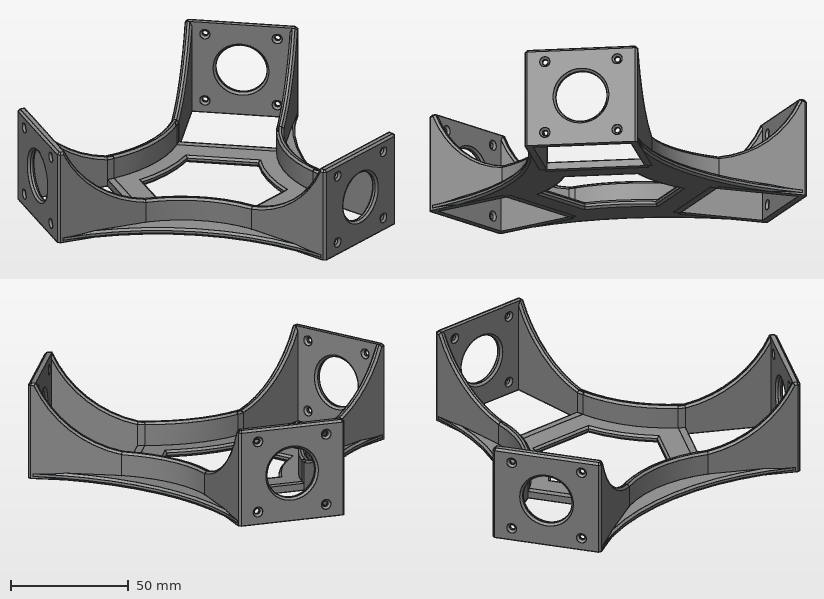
import cadquery as cq
import math

overall_width = 161.8
height = 42.0
wall = 3.0
edge_chamfer = 1.0
arm_half_width = 24.1
joint_distance = 40.0
arm_spacing = 120
arm_angles = (30, 150, 270)
wall_angles = [angle + arm_spacing / 2 for angle in arm_angles]

boss_diameter = 22.0
screw_diameter = 2.5
screw_pitch = 31.0

low_wall_height = 13.3
arch_radius = 50.7
curved_wall_mid = 36.0
flange_mid = 45.2
opening_arm_side = 26.4
opening_wall_side = 24.6

arm_cos = math.cos(math.radians(arm_angles[0]))
arm_sin = math.sin(math.radians(arm_angles[0]))
arm_length = (overall_width / 2 - arm_sin * (arm_half_width - edge_chamfer)) / arm_cos
plate_inner = arm_length - wall
inner_half_width = arm_half_width - wall
lip_start = joint_distance - wall
lip_half_width = inner_half_width + edge_chamfer


def polar(distance, angle):
    """Point at a distance from the hub axis, in the direction of an angle in degrees."""
    a = math.radians(angle)
    return distance * math.cos(a), distance * math.sin(a)


def arm_point(angle, distance, offset):
    """Point along an arm at the given angle, moved sideways by an offset."""
    x, y = polar(distance, angle)
    side_x, side_y = polar(offset, angle + 90)
    return x + side_x, y + side_y


def arm_to_wall_frame(distance, offset):
    """Turn a point of an arm into (offset across, distance along) the neighbouring wall axis."""
    across = distance * arm_cos - offset * arm_sin
    along = distance * arm_sin + offset * arm_cos
    return across, along


def arc_centre_and_radius(half_chord, chord_distance, mid_distance):
    """Circle that bulges towards the hub, given its chord and its middle point on the wall axis."""
    rise = chord_distance - mid_distance
    radius = (half_chord**2 + rise**2) / (2 * rise)
    return mid_distance + radius, radius


wall_end = arm_to_wall_frame(joint_distance, arm_half_width)
wall_centre, wall_radius = arc_centre_and_radius(*wall_end, curved_wall_mid)
flange_tip = arm_length - edge_chamfer
flange_end = arm_to_wall_frame(flange_tip, arm_half_width)
flange_centre, flange_radius = arc_centre_and_radius(*flange_end, flange_mid)


def turned(body, angle):
    """Turn a body from the +X axis to the given angle about the hub axis."""
    return body.rotate((0, 0, 0), (0, 0, 1), angle)


def revolved_at(profile, distance):
    """Revolve a (radius, height) profile about a vertical axis at a distance along +X."""
    ring = cq.Workplane("XZ").polyline(profile).close().revolve(360, (0, 0, 0), (0, 1, 0))
    return ring.translate((distance, 0, 0))


def arm_block(start, end, half_width):
    """Full-height block along +X, between two distances from the hub axis."""
    block = cq.Workplane("XY").box(end - start, 2 * half_width, height, centered=(False, True, False))
    return block.translate((start, 0, 0))


def chamfered_hole(diameter, y, z):
    """Cutter for a hole through the plate, chamfered at both faces."""
    radius = diameter / 2
    rim = radius + edge_chamfer
    profile = [
        (0, 0), (rim, 0), (radius, edge_chamfer), (radius, wall - edge_chamfer), (rim, wall), (0, wall),
    ]
    cutter = cq.Workplane("XY").polyline(profile).close().revolve(360, (0, 0, 0), (0, 1, 0))
    return cutter.rotate((0, 0, 0), (0, 0, 1), -90).translate((plate_inner, y, z))


def make_bracket():
    """Bracket without its lip; its side walls sweep down from the plate to the curved walls."""
    block = arm_block(joint_distance, arm_length, arm_half_width).edges("|Z and >X").chamfer(edge_chamfer)
    pocket = arm_block(joint_distance, plate_inner, inner_half_width)
    arch = (
        cq.Workplane("XZ")
        .moveTo(joint_distance, low_wall_height)
        .radiusArc((plate_inner, height), -arch_radius)
        .lineTo(joint_distance, height)
        .close()
        .extrude(arm_half_width, both=True)
    )
    bracket = block.cut(pocket).cut(arch)

    plate_rim = bracket.faces(">Z").edges("not(<X)")
    arch_edges = bracket.edges("%CIRCLE")
    bracket = bracket.newObject(plate_rim.vals() + arch_edges.vals()).chamfer(edge_chamfer)

    middle = height / 2
    bracket = bracket.cut(chamfered_hole(boss_diameter, 0, middle))
    for side in (-1, 1):
        for level in (-1, 1):
            y = side * screw_pitch / 2
            z = middle + level * screw_pitch / 2
            bracket = bracket.cut(chamfered_hole(screw_diameter, y, z))
    return bracket


def make_opening_profile():
    """Floor opening: straight sides facing the arms, curved sides facing the walls."""
    radius = wall_centre - opening_wall_side
    centre_to_side = wall_centre * arm_sin - opening_arm_side
    half_side = wall_centre * arm_cos - math.sqrt(radius**2 - centre_to_side**2)

    profile = cq.Workplane("XY").moveTo(*arm_point(arm_angles[0], opening_arm_side, -half_side))
    for arm_angle, wall_angle in zip(arm_angles, wall_angles):
        next_arm_angle = arm_angle + arm_spacing
        profile = profile.lineTo(*arm_point(arm_angle, opening_arm_side, half_side))
        profile = profile.threePointArc(
            polar(opening_wall_side, wall_angle),
            arm_point(next_arm_angle, opening_arm_side, -half_side),
        )
    return profile.close()


def make_floor():
    """Floor plate with its opening and its three curved, chamfered flange rims."""
    tips = []
    for angle in arm_angles:
        for side in (-1, 1):
            tips.append(arm_point(angle, flange_tip, side * arm_half_width))
    floor = cq.Workplane("XY").polyline(tips).close().extrude(wall)

    opening = make_opening_profile().extrude(wall)
    floor = floor.cut(opening)
    opening_box = cq.selectors.BoxSelector(
        (-joint_distance, -joint_distance, -wall), (joint_distance, joint_distance, 2 * wall)
    )
    floor = floor.edges(opening_box).edges("not |Z").chamfer(edge_chamfer)

    flared = flange_radius + edge_chamfer
    scallop = revolved_at([
        (0, 0), (flared, 0), (flange_radius, edge_chamfer),
        (flange_radius, wall - edge_chamfer), (flared, wall), (0, wall),
    ], flange_centre)
    for angle in wall_angles:
        floor = floor.cut(turned(scallop, angle))
    return floor


def make_curved_walls():
    """Three arc walls with chamfered tops, each ending at the joint faces of its two arms."""
    inner, outer = wall_radius, wall_radius + wall
    shoulder = low_wall_height - edge_chamfer
    ring = revolved_at([
        (inner, 0), (outer, 0), (outer, shoulder), (outer - edge_chamfer, low_wall_height),
        (inner + edge_chamfer, low_wall_height), (inner, shoulder),
    ], wall_centre)
    vertex = joint_distance / arm_sin
    corners = [polar(vertex, angle) for angle in wall_angles]
    between_joints = cq.Workplane("XY").polyline(corners).close().extrude(low_wall_height)
    return [turned(ring, a).intersect(between_joints) for a in wall_angles]


def make_whole_frame():
    """Frame with closed joint faces, before the bracket lips are let into it."""
    frame = make_floor()
    arm_space = arm_block(joint_distance, arm_length, arm_half_width)
    for angle in arm_angles:
        frame = frame.cut(turned(arm_space, angle))
    for curved_wall in make_curved_walls():
        frame = frame.union(curved_wall)
    return frame


whole_frame = make_whole_frame()
lip_space = arm_block(lip_start, joint_distance, lip_half_width)

plain_bracket = make_bracket()
frame = whole_frame
brackets = []
for angle in arm_angles:
    recess = turned(lip_space, angle)
    lip = whole_frame.intersect(recess)
    frame = frame.cut(recess)
    brackets.append(turned(plain_bracket, angle).union(lip))

result = cq.Compound.makeCompound([frame.solids().val(), *[b.solids().val() for b in brackets]])